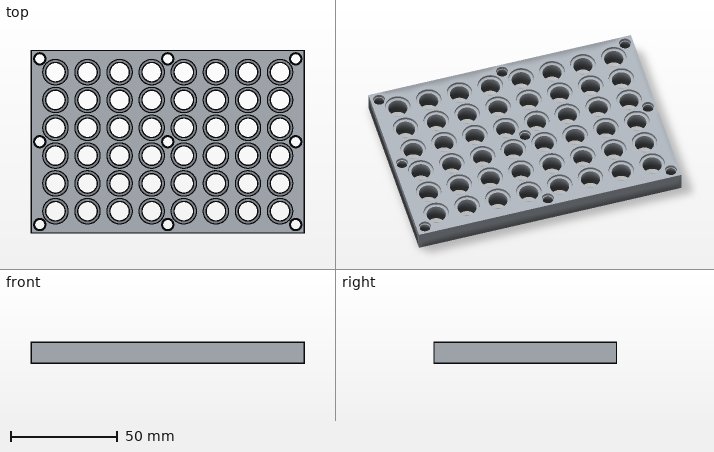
import cadquery as cq

LENGTH = 127.63
WIDTH = 85.47
THICKNESS = 10.0

WELL_COLUMNS = 8
WELL_ROWS = 6
WELL_PITCH_X = 15.0
WELL_PITCH_Y = 13.0
WELL_BORE_DIAMETER = 9.0
WELL_RIM_DIAMETER = 11.9
WELL_RIM_DEPTH = 1.2

SCREWS_PER_SIDE = 3
SCREW_EDGE_DISTANCE = 4.0
SCREW_BORE_DIAMETER = 4.8
SCREW_RIM_DIAMETER = 5.7
SCREW_RIM_DEPTH = 1.5
SCREW_PITCH_X = (LENGTH - 2 * SCREW_EDGE_DISTANCE) / (SCREWS_PER_SIDE - 1)
SCREW_PITCH_Y = (WIDTH - 2 * SCREW_EDGE_DISTANCE) / (SCREWS_PER_SIDE - 1)


def make_plate():
    """Rectangular plate centred on the Z axis, with its underside at Z = 0."""
    return cq.Workplane("XY").box(LENGTH, WIDTH, THICKNESS, centered=(True, True, False))


def cut_wells(plate):
    """Through bores with a shallow wider rim at the top face."""
    grid = plate.faces(">Z").workplane().rarray(WELL_PITCH_X, WELL_PITCH_Y, WELL_COLUMNS, WELL_ROWS)
    return grid.cboreHole(WELL_BORE_DIAMETER, WELL_RIM_DIAMETER, WELL_RIM_DEPTH)


def cut_screw_holes(plate):
    """Through holes, counterbored from the top face."""
    grid = plate.faces(">Z").workplane().rarray(
        SCREW_PITCH_X, SCREW_PITCH_Y, SCREWS_PER_SIDE, SCREWS_PER_SIDE
    )
    return grid.cboreHole(SCREW_BORE_DIAMETER, SCREW_RIM_DIAMETER, SCREW_RIM_DEPTH)


result = cut_screw_holes(cut_wells(make_plate()))